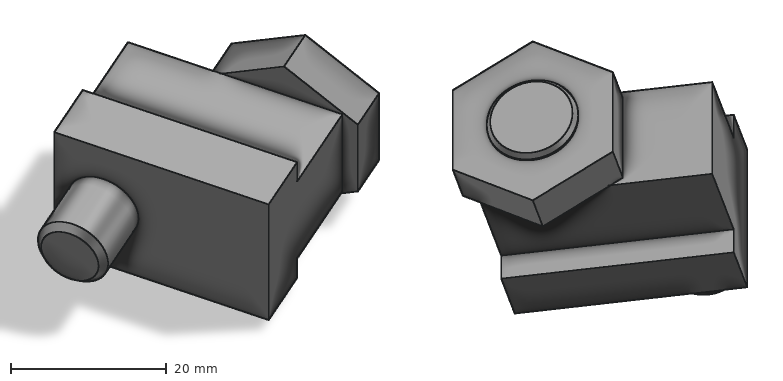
import cadquery as cq
import math

block_length = 30.5
block_height = 21.0
flange_depth = 8.5
stem_height = 14.0
stem_depth = 13.5
block_depth = flange_depth + stem_depth

pin_diameter = 10.0
pin_length = 10.0
pin_tip_diameter = 8.16
pin_chamfer = (pin_diameter - pin_tip_diameter) / 2
pin_to_block_end = 7.0

hex_across_flats = 21.0
hex_across_corners = hex_across_flats / math.cos(math.radians(30))
hex_thickness = 6.35
hex_offset = 15.2

end_diameter = 12.0
end_height = 0.88
end_chamfer = 0.6


def centered_block(height, depth, front_y):
    """Rectangular bar over the block length, centred in height on the pin axis."""
    return cq.Workplane("XY").box(
        block_length, depth, height, centered=(False, False, True)
    ).translate((-pin_to_block_end, front_y, 0))


def facing_back(y, x=0):
    """Plane at depth y whose normal points along +Y and whose local x axis is +Z."""
    return cq.Workplane(cq.Plane(origin=(x, y, 0), xDir=(0, 0, 1), normal=(0, 1, 0)))


def make_block():
    flange = centered_block(block_height, flange_depth, 0)
    stem = centered_block(stem_height, stem_depth, flange_depth)
    return flange.union(stem)


def make_pin():
    pin = facing_back(-pin_length).circle(pin_diameter / 2).extrude(pin_length)
    return pin.faces("<Y").chamfer(pin_chamfer)


def make_hex_head():
    hex_back = block_depth + hex_thickness
    head = facing_back(block_depth, hex_offset).polygon(6, hex_across_corners).extrude(hex_thickness)
    raised_end = facing_back(hex_back, hex_offset).circle(end_diameter / 2).extrude(end_height)
    return head.union(raised_end.faces(">Y").chamfer(end_chamfer))


result = make_block().union(make_pin()).union(make_hex_head())